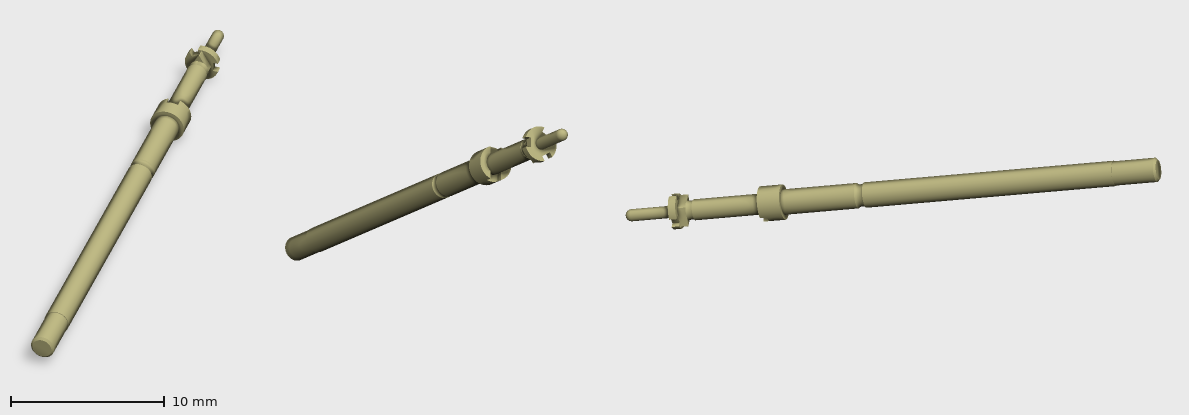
import cadquery as cq
import math

total_length = 36.2
tip_y = total_length / 2
rear_y = -total_length / 2

rod_radius = 0.4
flange_radius = 1.15
body_radius = 0.7
neck_edge_radius = 0.65
neck_radius = 0.6
barrel_radius = 0.85
tail_radius = 0.8
rear_face_radius = 0.65
groove_radius = 0.72

tip_dome_y = tip_y - rod_radius
flange_front_y = 14.9
flange_rear_y = 14.4
wedge_rear_y = 13.85
body_front_y = 13.43
collar_front_y = 8.87
collar_rear_y = 7.35
groove_front_y = 2.35
groove_rear_y = 1.8
tail_front_y = -15.13
rear_chamfer_y = -17.95

slot_count = 3
slot_width = 0.65
slot_floor_radius = 0.75

wedge_half_width = 0.65
wedge_half_height = wedge_half_width * math.tan(math.radians(60))
wedge_tip_radius = 1.1

notch_width = 0.8
notch_length = 0.47


def disc(radius, front_y, rear_y):
    """Solid disc around the Y axis between two stations."""
    plane = cq.Workplane("XZ", origin=(0, front_y, 0))
    return plane.circle(radius).extrude(front_y - rear_y)


def turned_core():
    """Revolve the rod, neck, body, collar, grooved barrel and tail."""
    dome_offset = rod_radius * math.sqrt(0.5)
    neck_middle_y = (wedge_rear_y + body_front_y) / 2
    groove_middle_y = (groove_front_y + groove_rear_y) / 2
    return (
        cq.Workplane("XY")
        .moveTo(0, tip_y)
        .threePointArc((dome_offset, tip_dome_y + dome_offset), (rod_radius, tip_dome_y))
        .lineTo(rod_radius, wedge_rear_y)
        .lineTo(neck_edge_radius, wedge_rear_y)
        .threePointArc((neck_radius, neck_middle_y), (neck_edge_radius, body_front_y))
        .lineTo(body_radius, body_front_y)
        .lineTo(body_radius, collar_front_y)
        .lineTo(flange_radius, collar_front_y)
        .lineTo(flange_radius, collar_rear_y)
        .lineTo(barrel_radius, collar_rear_y)
        .lineTo(barrel_radius, groove_front_y)
        .threePointArc((groove_radius, groove_middle_y), (barrel_radius, groove_rear_y))
        .lineTo(barrel_radius, tail_front_y)
        .lineTo(tail_radius, tail_front_y)
        .lineTo(tail_radius, rear_chamfer_y)
        .lineTo(rear_face_radius, rear_y)
        .lineTo(0, rear_y)
        .close()
        .revolve(360, (0, 0, 0), (0, 1, 0))
    )


def slotted_flange():
    """Thin flange with evenly spaced flat-bottomed slots; the first slot faces +X."""
    thickness = flange_front_y - flange_rear_y
    flange = disc(flange_radius, flange_front_y, flange_rear_y)
    slot = cq.Workplane("XY").box(flange_radius, thickness, slot_width)
    slot = slot.translate((slot_floor_radius + flange_radius / 2, flange_front_y - thickness / 2, 0))
    for index in range(slot_count):
        flange = flange.cut(slot.rotate((0, 0, 0), (0, 1, 0), index * 360 / slot_count))
    return flange


def wedge():
    """Upright diamond behind the flange, its top and bottom tips trimmed round."""
    diamond = (
        cq.Workplane("XZ", origin=(0, flange_rear_y, 0))
        .polyline([
            (wedge_half_width, 0),
            (0, wedge_half_height),
            (-wedge_half_width, 0),
            (0, -wedge_half_height),
        ])
        .close()
        .extrude(flange_rear_y - wedge_rear_y)
    )
    return diamond.intersect(disc(wedge_tip_radius, flange_rear_y, wedge_rear_y))


def collar_notches():
    """Notches across the top and bottom of the collar, down to the body surface."""
    notch_middle_y = collar_front_y - notch_length / 2
    block = cq.Workplane("XY").box(notch_width, notch_length, 2 * flange_radius)
    block = block.translate((0, notch_middle_y, 0))
    body = disc(body_radius, collar_front_y, collar_front_y - notch_length)
    return block.cut(body)


result = turned_core().union(slotted_flange()).union(wedge()).cut(collar_notches())